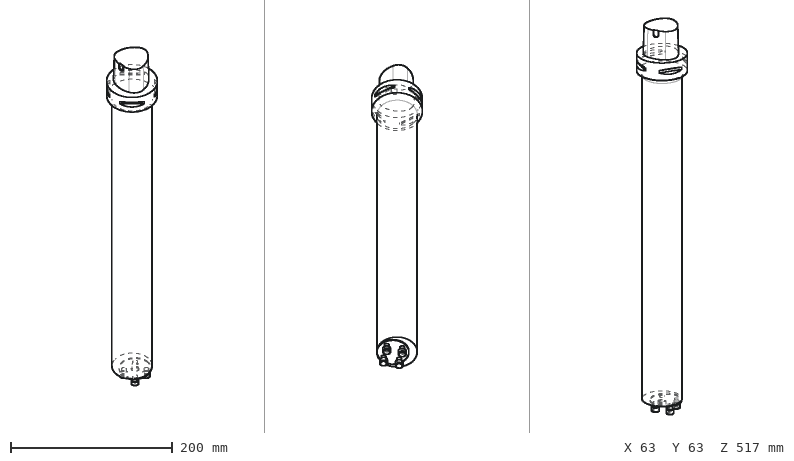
import cadquery as cq
import math

TOTAL_LENGTH = 517.0

SHANK_LENGTH = 37.5
SHANK_DIAMETER = 44.0
LOBE_AMPLITUDE = 1.4
TAPER = 1 / 20
LOBE_HALF_ANGLE = 36
LOBE_SPACING = 120
LOBE_DIRECTIONS = (90, 210, 330)
KEYWAY_DIRECTION = 270

KEYWAY_WIDTH = 7.0
KEYWAY_HEIGHT = 9.0
KEYWAY_DEPTH = 1.5

FLANGE_DIAMETER = 63.0
FLANGE_HEIGHT = 24.0
GROOVE_LENGTH = 30.0
GROOVE_FLOOR_HEIGHT = 3.0
GROOVE_FLANK_ANGLE = 30
GROOVE_DROP = 12.0
GROOVE_DIRECTIONS = (45, 135, 225, 315)

BODY_DIAMETER = 50.0
ROOT_FILLET = 6.0

PAD_DIAMETER = 40.0
PAD_HEIGHT = 1.5
PAD_OFFSET = (BODY_DIAMETER - PAD_DIAMETER) / 2

PIN_PITCH = 19.5
PIN_SHANK_DIAMETER = 6.0
PIN_SHANK_LENGTH = 6.0
PIN_HEAD_DIAMETER = 10.0
PIN_HEAD_HEIGHT = 6.0
PIN_HEAD_CHAMFER = 1.0

BOTTOM = SHANK_LENGTH - TOTAL_LENGTH
PAD_BOTTOM = BOTTOM + PIN_HEAD_HEIGHT + PIN_SHANK_LENGTH
BODY_BOTTOM = PAD_BOTTOM + PAD_HEIGHT


def shank_point(diameter, angle):
    """Point of the lobed outline where the outward normal has the given angle."""
    normal = math.radians(angle)
    phase = 3 * math.radians(angle - LOBE_DIRECTIONS[0])
    distance = diameter / 2 + LOBE_AMPLITUDE * math.cos(phase)
    slope = -3 * LOBE_AMPLITUDE * math.sin(phase)
    x = distance * math.cos(normal) - slope * math.sin(normal)
    y = distance * math.sin(normal) + slope * math.cos(normal)
    return x, y


def shank_outline(plane, diameter):
    """Closed outline of three tight lobe arcs joined by three flatter arcs."""
    first = LOBE_DIRECTIONS[0] - LOBE_HALF_ANGLE
    outline = plane.moveTo(*shank_point(diameter, first))
    for lobe in LOBE_DIRECTIONS:
        lobe_arc = (lobe, lobe + LOBE_HALF_ANGLE)
        flat_arc = (lobe + LOBE_SPACING / 2, lobe + LOBE_SPACING - LOBE_HALF_ANGLE)
        for middle, end in (lobe_arc, flat_arc):
            outline = outline.threePointArc(shank_point(diameter, middle), shank_point(diameter, end))
    return outline.close()


def make_shank():
    top_diameter = SHANK_DIAMETER - TAPER * SHANK_LENGTH
    base = shank_outline(cq.Workplane("XY"), SHANK_DIAMETER)
    shank = shank_outline(base.workplane(offset=SHANK_LENGTH), top_diameter).loft(ruled=True)

    flat_y = shank_point(top_diameter, KEYWAY_DIRECTION)[1]
    radius = KEYWAY_WIDTH / 2
    round_z = SHANK_LENGTH - KEYWAY_HEIGHT + radius
    keyway = (
        cq.Workplane("XZ", origin=(0, flat_y + KEYWAY_DEPTH, 0))
        .moveTo(-radius, SHANK_LENGTH)
        .lineTo(-radius, round_z)
        .threePointArc((0, round_z - radius), (radius, round_z))
        .lineTo(radius, SHANK_LENGTH)
        .close()
        .extrude(2 * KEYWAY_DEPTH)
    )
    return shank.cut(keyway)


def make_bar():
    """Flange, root fillet and body as one revolved profile."""
    body_radius = BODY_DIAMETER / 2
    flange_radius = FLANGE_DIAMETER / 2
    fillet_end_z = -FLANGE_HEIGHT - ROOT_FILLET
    fillet_middle = ROOT_FILLET * (1 - math.sqrt(0.5))
    return (
        cq.Workplane("XZ")
        .lineTo(flange_radius, 0)
        .lineTo(flange_radius, -FLANGE_HEIGHT)
        .lineTo(body_radius + ROOT_FILLET, -FLANGE_HEIGHT)
        .threePointArc(
            (body_radius + fillet_middle, -FLANGE_HEIGHT - fillet_middle),
            (body_radius, fillet_end_z),
        )
        .lineTo(body_radius, BODY_BOTTOM)
        .lineTo(0, BODY_BOTTOM)
        .close()
        .revolve(360, (0, 0, 0), (0, 1, 0))
    )


def make_groove(direction):
    """Straight V-flanked groove whose flat floor is a chord of the flange."""
    rim = FLANGE_DIAMETER / 2
    floor_distance = math.sqrt(rim**2 - (GROOVE_LENGTH / 2) ** 2)
    floor_half = GROOVE_FLOOR_HEIGHT / 2
    mouth_half = floor_half + (rim - floor_distance) * math.tan(math.radians(GROOVE_FLANK_ANGLE))
    return (
        cq.Workplane("XZ")
        .moveTo(floor_distance, -GROOVE_DROP - floor_half)
        .lineTo(rim, -GROOVE_DROP - mouth_half)
        .lineTo(rim, -GROOVE_DROP + mouth_half)
        .lineTo(floor_distance, -GROOVE_DROP + floor_half)
        .close()
        .extrude(rim, both=True)
        .rotate((0, 0, 0), (0, 0, 1), direction)
    )


def make_end_pad():
    return (
        cq.Workplane("XY", origin=(PAD_OFFSET, 0, PAD_BOTTOM))
        .circle(PAD_DIAMETER / 2)
        .extrude(PAD_HEIGHT)
    )


def make_pins():
    square = cq.Workplane("XY", origin=(PAD_OFFSET, 0, BOTTOM)).rarray(PIN_PITCH, PIN_PITCH, 2, 2)
    heads = square.circle(PIN_HEAD_DIAMETER / 2).extrude(PIN_HEAD_HEIGHT)
    heads = heads.faces("<Z").chamfer(PIN_HEAD_CHAMFER)
    shanks = square.circle(PIN_SHANK_DIAMETER / 2).extrude(PIN_HEAD_HEIGHT + PIN_SHANK_LENGTH)
    return heads.union(shanks)


bar = make_bar()
for groove_direction in GROOVE_DIRECTIONS:
    bar = bar.cut(make_groove(groove_direction))

result = bar.union(make_shank()).union(make_end_pad()).union(make_pins())